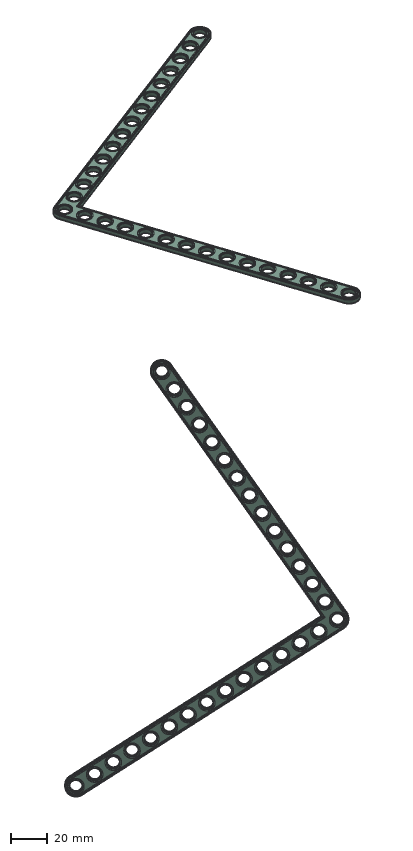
import cadquery as cq

outer_length = 187.5
holes_per_arm = 15
hole_diameter = 7.0

shallow_depth = 0.11
shallow_setback = 1.25
shallow_bore = 9.2
deep_depth = 0.22
deep_setback = 0.5
deep_bore = 7.7

pitch = outer_length / holes_per_arm
arm_width = pitch
thickness = pitch / 4
last_hole = (holes_per_arm - 1) * pitch
corner = -last_hole / 2


def l_plate(setback, depth):
    """Round-ended L, drawn in from the full outline and from both faces."""
    width = arm_width - 2 * setback
    height = thickness - 2 * depth
    bar = cq.Workplane("XY").center(last_hole / 2, 0).slot2D(last_hole + width, width).extrude(height)
    upright_bar = bar.rotate((0, 0, 0), (0, 0, 1), 90)
    return bar.union(upright_bar).translate((corner, corner, depth)).clean()


def cylinders(diameter, bottom, height):
    """One cylinder at every hole position."""
    layer = cq.Workplane("XY").workplane(offset=bottom)
    return layer.pushPoints(hole_points).circle(diameter / 2).extrude(height)


steps = [i * pitch for i in range(holes_per_arm)]
hole_points = [(corner + step, corner) for step in steps]
hole_points += [(corner, corner + step) for step in steps[1:]]

plate = l_plate(0, deep_depth)
plate = plate.union(l_plate(deep_setback, shallow_depth))
plate = plate.union(l_plate(shallow_setback, 0))

plate = plate.cut(cylinders(hole_diameter, 0, thickness))
for diameter, depth in ((shallow_bore, shallow_depth), (deep_bore, deep_depth)):
    plate = plate.cut(cylinders(diameter, 0, depth))
    plate = plate.cut(cylinders(diameter, thickness - depth, depth))

result = plate